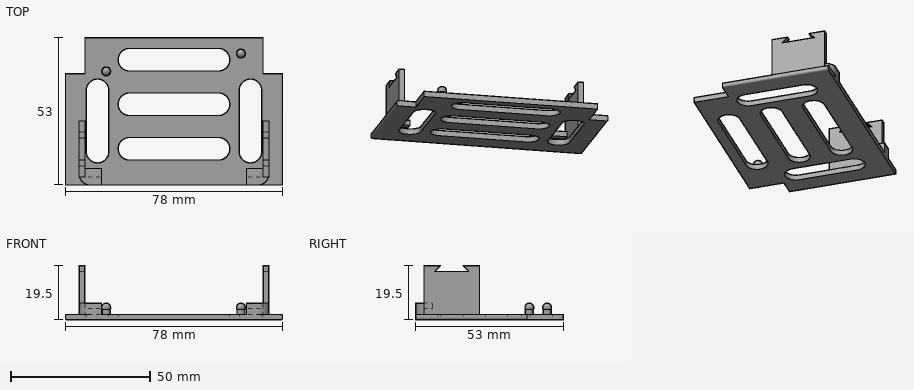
import cadquery as cq

plate_length = 78.0
plate_depth = 53.0
plate_thickness = 2.0
shoulder_depth = 40.0
rear_tab_width = 64.0
side_edge_radius = 0.7

slot_width = 8.0
cross_slot_length = 40.0
cross_slot_pitch = 16.0
middle_slot_y = 29.0
side_slot_length = 30.0
side_slot_x = 27.45
side_slot_y = 23.0

overall_height = 19.5
wall_thickness = 2.0
wall_outer_x = rear_tab_width / 2 + wall_thickness
wall_front_y = 3.0
wall_length = 20.0
notch_opening = 8.0
notch_depth = 2.0
notch_floor = notch_opening + 2 * notch_depth

block_inner_x = 26.0
block_depth = 6.0
block_height = 4.0
block_radius = 4.0
undercut_height = 2.0

pin_positions = [(-24.3, 40.8), (24.0, 47.2)]
pin_height = 4.05
stem_radius = 3.0 / 2
foot_radius = 5.0 / 2
ball_radius = 1.6
ball_center_z = plate_thickness + pin_height - ball_radius


def make_plate():
    """Plate with rounded side edges and a narrower rear tab."""
    body = cq.Workplane("XY").box(
        plate_length, shoulder_depth, plate_thickness, centered=(True, False, False)
    )
    body = body.faces("<X or >X").edges("|Y").fillet(side_edge_radius)
    rear_tab = cq.Workplane("XY").box(
        rear_tab_width, plate_depth, plate_thickness, centered=(True, False, False)
    )
    return body.union(rear_tab)


def make_slots():
    """Cutters for three slots across the plate and one along each side."""
    cross_slots = (
        cq.Workplane("XY")
        .center(0, middle_slot_y)
        .pushPoints([(0, step * cross_slot_pitch) for step in (-1, 0, 1)])
        .slot2D(cross_slot_length, slot_width)
        .extrude(plate_thickness)
    )
    side_slots = (
        cq.Workplane("XY")
        .pushPoints([(-side_slot_x, side_slot_y), (side_slot_x, side_slot_y)])
        .slot2D(side_slot_length, slot_width, 90)
        .extrude(plate_thickness)
    )
    return cross_slots.union(side_slots)


def make_right_wall():
    """Upright wall on the +X side, notched along its top edge."""
    wall_center_y = wall_front_y + wall_length / 2
    notch_floor_z = overall_height - notch_depth
    profile = [
        (wall_front_y, 0),
        (wall_front_y + wall_length, 0),
        (wall_front_y + wall_length, overall_height),
        (wall_center_y + notch_opening / 2, overall_height),
        (wall_center_y + notch_floor / 2, notch_floor_z),
        (wall_center_y - notch_floor / 2, notch_floor_z),
        (wall_center_y - notch_opening / 2, overall_height),
        (wall_front_y, overall_height),
    ]
    wall = cq.Workplane("YZ").polyline(profile).close().extrude(-wall_thickness)
    return wall.translate((wall_outer_x, 0, 0))


def make_right_block():
    """Corner block on the +X side, rounded outside and undercut at the rear to form a lip."""
    block = cq.Workplane("XY").box(
        wall_outer_x - block_inner_x, block_depth, plate_thickness + block_height, centered=False
    )
    block = block.edges("|Z and >X and <Y").fillet(block_radius)
    undercut = cq.Workplane("XY").box(
        wall_outer_x - wall_thickness - block_inner_x,
        block_depth - wall_front_y,
        undercut_height,
        centered=False,
    )
    block = block.cut(undercut.translate((0, wall_front_y, plate_thickness)))
    return block.translate((block_inner_x, 0, 0))


def make_pin():
    """Stem topped by a ball, on a wider round foot as thick as the plate."""
    foot = cq.Workplane("XY").circle(foot_radius).extrude(plate_thickness)
    stem = cq.Workplane("XY").circle(stem_radius).extrude(ball_center_z)
    ball = cq.Workplane("XY").sphere(ball_radius).translate((0, 0, ball_center_z))
    return foot.union(stem).union(ball)


right_support = make_right_wall().union(make_right_block())
left_support = right_support.mirror("YZ")

result = make_plate().cut(make_slots()).union(right_support).union(left_support)
for pin_x, pin_y in pin_positions:
    result = result.union(make_pin().translate((pin_x, pin_y, 0)), clean=False)